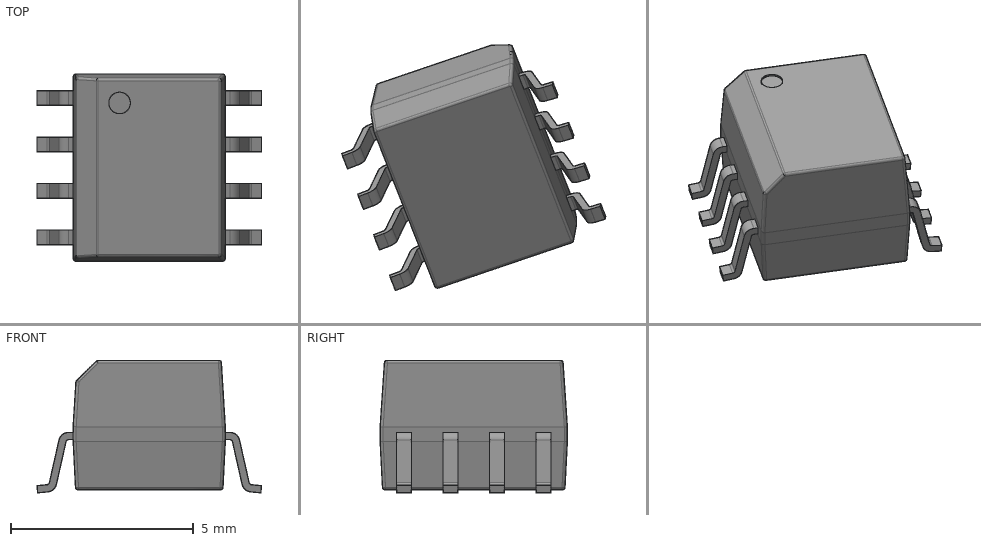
import cadquery as cq
import math

top_z = 3.63
bottom_z = 0.085
band_bottom_z = 1.4
band_top_z = 1.81
pin1_band_top_z = 1.845

body_width = 4.17
body_length = 5.13
upper_draft_x = 3.5
upper_draft_y = 3.8
lower_draft = 2.9
bevel_top_x = -1.425
bevel_side_z = 3.055
edge_radius = 0.075
corner_radius = 0.085

mark_diameter = 0.59
mark_x = -0.81
mark_y = 1.77
mark_depth = 0.05

lead_span = 6.15
leads_per_side = 4
lead_row_length = 3.81
lead_pitch = lead_row_length / (leads_per_side - 1)
lead_width = 0.405
lead_thickness = 0.2
arm_top_z = 1.66
bend_inner_radius = 0.075
leg_steepness = 77.3
foot_slope = 5.5
foot_length = 0.275
embedded_length = 0.185


def lean(height, draft):
    """Sideways offset of a wall that leans in by the draft angle over a height."""
    return height * math.tan(math.radians(draft))


def line(start, end):
    return cq.Edge.makeLine(cq.Vector(*start), cq.Vector(*end))


def arc(start, middle, end):
    return cq.Edge.makeThreePointArc(cq.Vector(*start), cq.Vector(*middle), cq.Vector(*end))


def body_outline(inset_x, inset_y, z, pin1_z=None):
    """Edges of a rectangle with rounded corners at height z, shrunk by the insets per side.

    Its -X side may run at its own height pin1_z, with the corners climbing to it.
    """
    half_x = body_width / 2 - inset_x
    half_y = body_length / 2 - inset_y
    straight_x = half_x - corner_radius
    straight_y = half_y - corner_radius
    arc_reach = corner_radius * math.cos(math.radians(45))
    arc_x = straight_x + arc_reach
    arc_y = straight_y + arc_reach
    left_z = z if pin1_z is None else pin1_z
    corner_z = (z + left_z) / 2

    return [
        line((-straight_x, -half_y, z), (straight_x, -half_y, z)),
        arc((straight_x, -half_y, z), (arc_x, -arc_y, z), (half_x, -straight_y, z)),
        line((half_x, -straight_y, z), (half_x, straight_y, z)),
        arc((half_x, straight_y, z), (arc_x, arc_y, z), (straight_x, half_y, z)),
        line((straight_x, half_y, z), (-straight_x, half_y, z)),
        arc((-straight_x, half_y, z), (-arc_x, arc_y, corner_z), (-half_x, straight_y, left_z)),
        line((-half_x, straight_y, left_z), (-half_x, -straight_y, left_z)),
        arc((-half_x, -straight_y, left_z), (-arc_x, -arc_y, corner_z), (-straight_x, -half_y, z)),
    ]


def make_body():
    """Upright band with leaning walls above and below, beveled along the pin 1 side and rounded."""
    upper_height = top_z - band_top_z
    lower_lean = lean(band_bottom_z - bottom_z, lower_draft)
    upper_lean_x = lean(upper_height, upper_draft_x)
    upper_lean_y = lean(upper_height, upper_draft_y)
    outlines = [
        body_outline(lower_lean, lower_lean, bottom_z),
        body_outline(0, 0, band_bottom_z),
        body_outline(0, 0, band_top_z, pin1_band_top_z),
        body_outline(upper_lean_x, upper_lean_y, top_z),
    ]

    end_outlines = (outlines[0], outlines[-1])
    faces = [cq.Face.makeFromWires(cq.Wire.assembleEdges(outline)) for outline in end_outlines]
    for lower_outline, upper_outline in zip(outlines, outlines[1:]):
        for lower_edge, upper_edge in zip(lower_outline, upper_outline):
            faces.append(cq.Face.makeRuledSurface(lower_edge, upper_edge))
    shell = cq.Shell.makeShell(faces)
    block = cq.Workplane("XY").newObject([cq.Solid.makeSolid(shell)])

    rounded_below = block.faces("<Z").edges().fillet(edge_radius)
    return round_upper_edges(rounded_below.cut(make_bevel_cutter()))


def make_bevel_cutter():
    """Triangular prism that removes the upper corner along the pin 1 side."""
    outer_x = -body_width / 2
    side_x = outer_x + lean(bevel_side_z - pin1_band_top_z, upper_draft_x)
    slope = (top_z - bevel_side_z) / (bevel_top_x - side_x)
    outer_z = bevel_side_z - slope * (side_x - outer_x)
    return (
        cq.Workplane("XZ")
        .polyline([(bevel_top_x, top_z), (outer_x, top_z), (outer_x, outer_z)])
        .close()
        .extrude(body_length / 2, both=True)
    )


def round_upper_edges(body):
    """Round the edges around the top face and around the bevel."""
    bevel_middle = ((bevel_top_x - body_width / 2) / 2, 0, (top_z + bevel_side_z) / 2)
    bevel_face = body.faces(cq.NearestToPointSelector(bevel_middle))
    return body.faces(">Z").edges().add(bevel_face.edges()).fillet(edge_radius)


def make_mark():
    """Shallow round dimple in the top face."""
    return (
        cq.Workplane("XY", origin=(mark_x, mark_y, top_z - mark_depth))
        .circle(mark_diameter / 2)
        .extrude(mark_depth)
    )


def make_lead():
    """Gull-wing lead on the -X side, centered on Y = 0, traced along its centerline from the toe."""
    half_thickness = lead_thickness / 2
    radius = bend_inner_radius + half_thickness
    leg = math.radians(leg_steepness)
    foot = math.radians(foot_slope)

    toe_x = -lead_span / 2 + half_thickness * math.sin(foot)
    toe_z = half_thickness * math.cos(foot)
    heel_x = toe_x + foot_length * math.cos(foot)
    heel_z = toe_z + foot_length * math.sin(foot)
    leg_low_x = heel_x + radius * (math.sin(leg) - math.sin(foot))
    leg_low_z = heel_z + radius * (math.cos(foot) - math.cos(leg))
    arm_z = arm_top_z - half_thickness
    leg_high_z = arm_z - radius * (1 - math.cos(leg))
    leg_high_x = leg_low_x + (leg_high_z - leg_low_z) / math.tan(leg)
    elbow_x = leg_high_x + radius * math.sin(leg)
    arm_end_x = -body_width / 2 + embedded_length

    centerline = (
        cq.Workplane("XZ")
        .moveTo(toe_x, toe_z)
        .lineTo(heel_x, heel_z)
        .tangentArcPoint((leg_low_x, leg_low_z), relative=False)
        .lineTo(leg_high_x, leg_high_z)
        .tangentArcPoint((elbow_x, arm_z), relative=False)
        .lineTo(arm_end_x, arm_z)
    )
    toe_plane = cq.Plane(
        origin=(toe_x, 0, toe_z),
        xDir=(0, 1, 0),
        normal=(math.cos(foot), 0, math.sin(foot)),
    )
    return cq.Workplane(toe_plane).rect(lead_width, lead_thickness).sweep(centerline)


result = make_body().cut(make_mark())
pin1_side_lead = make_lead()
far_side_lead = pin1_side_lead.mirror("YZ")
for index in range(leads_per_side):
    lead_y = -lead_row_length / 2 + index * lead_pitch
    result = result.union(pin1_side_lead.translate((0, lead_y, 0)))
    result = result.union(far_side_lead.translate((0, lead_y, 0)))